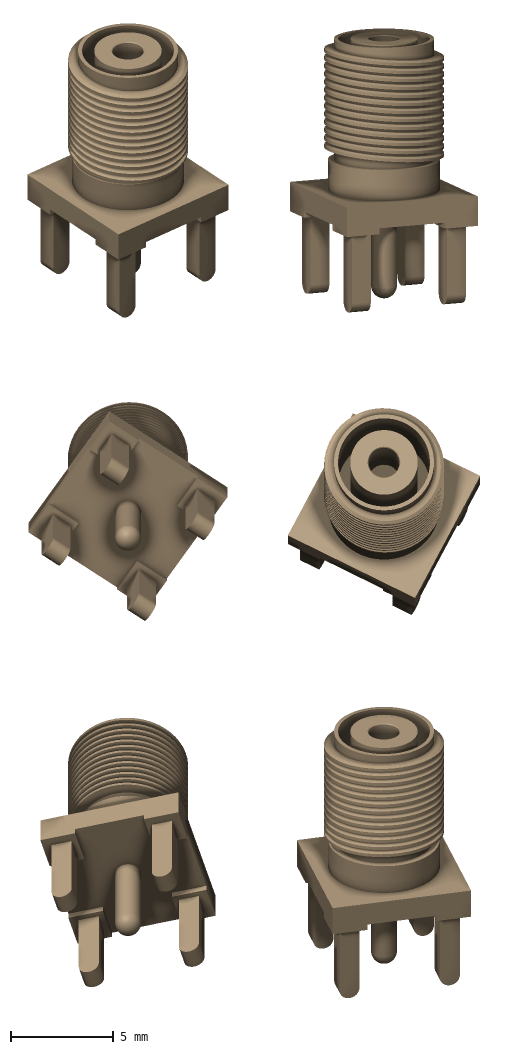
import cadquery as cq
import math

FLANGE_SIDE = 7.0
FLANGE_HEIGHT = 1.47
RELIEF_HEIGHT = 0.3
PAD_SIDE = 1.75

LEG_PITCH = 5.08
LEG_WIDTH = 1.016
LEG_LENGTH = 3.97

PIN_DIAMETER = 1.27
PIN_END_HEIGHT = 0.6

COLLAR_DIAMETER = 5.5
COLLAR_HEIGHT = 1.5
BARREL_DIAMETER = 4.9
BARREL_BORE_DIAMETER = 4.5
BARREL_HEIGHT = 6.03
BORE_DEPTH = 4.0

CORE_DIAMETER = 3.3
SOCKET_DIAMETER = 1.52
SOCKET_DEPTH = 3.0
SOCKET_CHAMFER = 0.04

RING_COUNT = 13
RING_PITCH = 0.4
RING_DIAMETER = 5.89
RING_THICKNESS = 0.225
RING_BEVEL_WIDTH = 0.17
RING_BEVEL_DROP = 0.07
RING_TILT = 4.75
TOP_RING_DROP = 0.845

COLLAR_TOP = FLANGE_HEIGHT + COLLAR_HEIGHT
BARREL_TOP = COLLAR_TOP + BARREL_HEIGHT


def cylinder(diameter, bottom, top):
    """Upright cylinder on the part axis between two heights."""
    return cq.Workplane("XY").workplane(offset=bottom).circle(diameter / 2).extrude(top - bottom)


def make_flange():
    """Square plate with crossed relief channels that leave a pad at each corner."""
    flange = cq.Workplane("XY").box(
        FLANGE_SIDE, FLANGE_SIDE, FLANGE_HEIGHT, centered=(True, True, False)
    )
    relief_width = FLANGE_SIDE - 2 * PAD_SIDE
    relief_x = cq.Workplane("XY").box(
        FLANGE_SIDE, relief_width, RELIEF_HEIGHT, centered=(True, True, False)
    )
    relief_y = relief_x.rotate((0, 0, 0), (0, 0, 1), 90)
    return flange.cut(relief_x).cut(relief_y)


def make_leg(x, y):
    """Square leg whose lower end is a half round with its axis along X."""
    half_width = LEG_WIDTH / 2
    straight_end = -LEG_LENGTH + half_width
    return (
        cq.Workplane("YZ")
        .workplane(offset=x - half_width)
        .moveTo(y - half_width, 0)
        .lineTo(y - half_width, straight_end)
        .threePointArc((y, -LEG_LENGTH), (y + half_width, straight_end))
        .lineTo(y + half_width, 0)
        .close()
        .extrude(LEG_WIDTH)
    )


def make_pin():
    """Round pin with a domed lower end level with the leg ends."""
    radius = PIN_DIAMETER / 2
    dome_start = -LEG_LENGTH + PIN_END_HEIGHT
    dome_radius = (radius**2 + PIN_END_HEIGHT**2) / (2 * PIN_END_HEIGHT)
    dome_centre = -LEG_LENGTH + dome_radius
    dome_middle = (
        dome_radius * math.sin(math.pi / 4),
        dome_centre - dome_radius * math.cos(math.pi / 4),
    )
    return (
        cq.Workplane("XZ")
        .moveTo(0, -LEG_LENGTH)
        .threePointArc(dome_middle, (radius, dome_start))
        .lineTo(radius, FLANGE_HEIGHT)
        .lineTo(0, FLANGE_HEIGHT)
        .close()
        .revolve(360, (0, 0, 0), (0, 1, 0))
    )


def make_barrel():
    """Collar and open tube around an insulator core with a chamfered contact socket."""
    barrel = cylinder(BARREL_DIAMETER, COLLAR_TOP, BARREL_TOP)
    bore = cylinder(BARREL_BORE_DIAMETER, BARREL_TOP - BORE_DEPTH, BARREL_TOP)
    core = cylinder(CORE_DIAMETER, BARREL_TOP - BORE_DEPTH, BARREL_TOP)
    socket = cylinder(SOCKET_DIAMETER, BARREL_TOP - SOCKET_DEPTH, BARREL_TOP)
    core = core.cut(socket)
    core = core.edges(cq.selectors.RadiusNthSelector(0)).edges(">Z").chamfer(SOCKET_CHAMFER)
    collar = cylinder(COLLAR_DIAMETER, FLANGE_HEIGHT, COLLAR_TOP)
    return barrel.cut(bore).union(core).union(collar)


def make_ring(base_z):
    """Flat ring bevelled on its upper rim, lowered on the +X side and rooted mid-wall in the barrel."""
    inner = (BARREL_DIAMETER + BARREL_BORE_DIAMETER) / 4
    outer = RING_DIAMETER / 2
    profile = [
        (inner, 0),
        (outer, 0),
        (outer, RING_THICKNESS - RING_BEVEL_DROP),
        (outer - RING_BEVEL_WIDTH, RING_THICKNESS),
        (inner, RING_THICKNESS),
    ]
    ring = cq.Workplane("XZ").polyline(profile).close().revolve(360, (0, 0, 0), (0, 1, 0))
    return ring.rotate((0, 0, 0), (0, 1, 0), RING_TILT).translate((0, 0, base_z))


result = make_flange().union(make_pin()).union(make_barrel())
for x_side in (-1, 1):
    for y_side in (-1, 1):
        result = result.union(make_leg(x_side * LEG_PITCH / 2, y_side * LEG_PITCH / 2))
for index in range(RING_COUNT):
    result = result.union(make_ring(BARREL_TOP - TOP_RING_DROP - index * RING_PITCH))